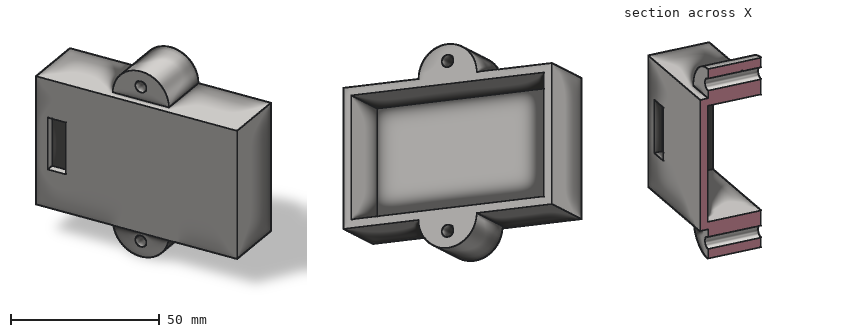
import cadquery as cq

length = 78.0
depth = 23.0
body_height = 49.0
wall = 3.0

overall_height = 70.75
ear_radius = (overall_height - body_height) / 2
ear_depth = depth - wall
hole_diameter = 4.3
hole_offset = 5.0

window_width = 6.95
window_height = 19.8
window_margin = 4.6


def ear(side):
    """Half-round ear with a screw hole; side is +1 above the box, -1 below."""
    face_z = side * body_height / 2
    back_center = (0, depth / 2, 0)
    half_round = (
        cq.Workplane("XZ", origin=back_center)
        .moveTo(-ear_radius, face_z)
        .threePointArc((0, face_z + side * ear_radius), (ear_radius, face_z))
        .close()
        .extrude(ear_depth)
    )
    hole = (
        cq.Workplane("XZ", origin=back_center)
        .center(0, face_z + side * hole_offset)
        .circle(hole_diameter / 2)
        .extrude(ear_depth)
    )
    return half_round.cut(hole)


body = cq.Workplane("XY").box(length, depth, body_height)
body = body.faces(">Y").shell(-wall)

window_x = -length / 2 + window_margin + window_width / 2
window_y = (wall - depth) / 2
window = cq.Workplane("XY").box(window_width, wall, window_height)
body = body.cut(window.translate((window_x, window_y, 0)))

for side in (1, -1):
    body = body.union(ear(side))

result = body